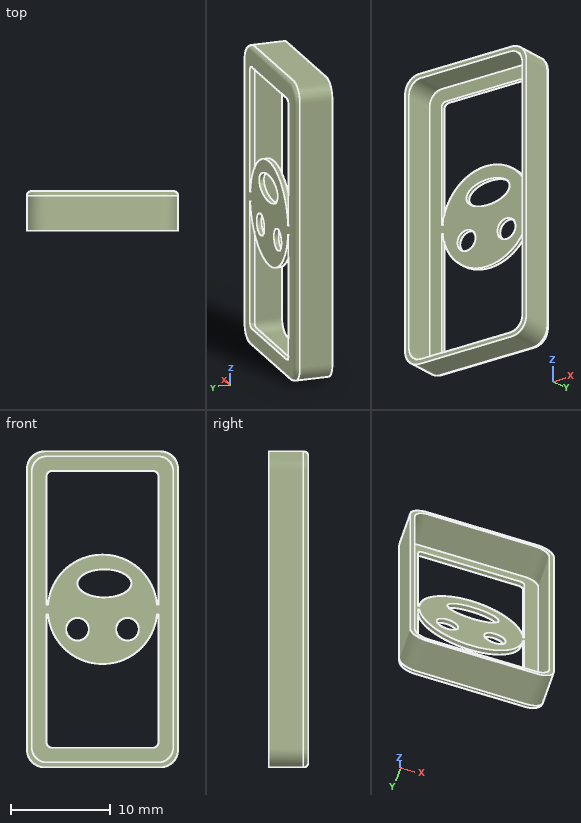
import cadquery as cq

WIDTH = 15.2
DEPTH = 4.0
HEIGHT = 31.7
CORNER_RADIUS = 1.8
INNER_CORNER_RADIUS = 1.5
WALL = 0.5
BASE_THICKNESS = 0.5
BACK_EDGE_LAND = 0.015
BACK_FILLET = BASE_THICKNESS - BACK_EDGE_LAND

BASE_MARGIN = 2.0
WINDOW_WIDTH = WIDTH - 2 * BASE_MARGIN
WINDOW_HEIGHT = HEIGHT - 2 * BASE_MARGIN
WINDOW_CORNER_RADIUS = 0.5

DISC_DIAMETER = 11.0
BRIDGE_HEIGHT = 1.0
EYE_DIAMETER = 2.25
EYE_OFFSET_X = 2.5
EYE_Z = -2.0
MOUTH_WIDTH = 5.4
MOUTH_HEIGHT = 2.8
MOUTH_X = 0.2
MOUTH_Z = 2.6

FRONT_Y = -DEPTH / 2
BACK_Y = DEPTH / 2
BASE_FRONT_Y = BACK_Y - BASE_THICKNESS


def plane_at(y):
    """Sketch plane at the given Y: local x is +X, local y is +Z, extrusion runs toward -Y."""
    return cq.Workplane("XZ", origin=(0, y, 0))


def rounded_block(width, height, radius, front_y, back_y):
    """Upright block with rounded corners, filling the space between two Y positions."""
    block = plane_at(back_y).rect(width, height).extrude(back_y - front_y)
    return block.edges("|Y").fillet(radius)


def make_wall():
    """Rectangular ring that forms the sides of the tray."""
    outside = rounded_block(WIDTH, HEIGHT, CORNER_RADIUS, FRONT_Y, BASE_FRONT_Y)
    inside = rounded_block(
        WIDTH - 2 * WALL, HEIGHT - 2 * WALL, INNER_CORNER_RADIUS, FRONT_Y, BASE_FRONT_Y
    )
    return outside.cut(inside)


def make_face():
    """Disc with its bridge, before the eyes and mouth are cut."""
    disc = plane_at(BACK_Y).circle(DISC_DIAMETER / 2).extrude(BASE_THICKNESS)
    bridge = plane_at(BACK_Y).rect(WINDOW_WIDTH, BRIDGE_HEIGHT).extrude(BASE_THICKNESS)
    return disc.union(bridge)


def make_face_holes():
    """Two round eyes and an elliptical mouth, as cutting tools."""
    eyes = (
        plane_at(BACK_Y)
        .pushPoints([(side * EYE_OFFSET_X, EYE_Z) for side in (-1, 1)])
        .circle(EYE_DIAMETER / 2)
        .extrude(BASE_THICKNESS)
    )
    mouth = (
        plane_at(BACK_Y)
        .center(MOUTH_X, MOUTH_Z)
        .ellipse(MOUTH_WIDTH / 2, MOUTH_HEIGHT / 2)
        .extrude(BASE_THICKNESS)
    )
    return eyes.union(mouth)


def make_base():
    """Back plate with a rounded rear edge, a window, and the face across the window."""
    plate = rounded_block(WIDTH, HEIGHT, CORNER_RADIUS, BASE_FRONT_Y, BACK_Y)
    plate = plate.faces(">Y").edges().fillet(BACK_FILLET)
    window = rounded_block(
        WINDOW_WIDTH, WINDOW_HEIGHT, WINDOW_CORNER_RADIUS, BASE_FRONT_Y, BACK_Y
    )
    return plate.cut(window).union(make_face()).cut(make_face_holes())


wall = make_wall()
base = make_base()

result = cq.Compound.makeCompound([wall.val(), base.val()])